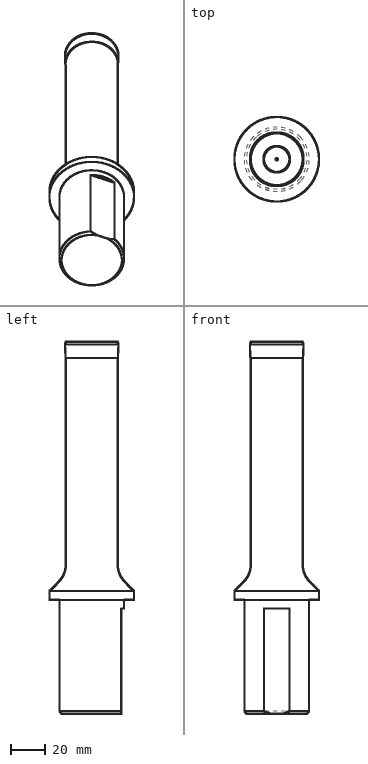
import cadquery as cq
import math

TOTAL_HEIGHT = 219.0

SHANK_RADIUS = 38.0 / 2
SHANK_CHAMFER_HEIGHT = 1.8
SHANK_CHAMFER_WIDTH = 1.3
FLAT_WIDTH = 15.1
FLAT_TOP = 62.0

FLANGE_RADIUS = 50.0 / 2
FLANGE_BOTTOM = 67.0
FLANGE_TOP = 72.3
NECK_FILLET_RADIUS = 14.5
NECK_CONE_ANGLE = math.radians(45)

BODY_RADIUS = 30.7 / 2

TIP_HEIGHT = 9.6
TIP_RADIUS = 31.8 / 2
TIP_BASE_RADIUS = 31.0 / 2
TIP_CHAMFER_HEIGHT = 1.8
TIP_CHAMFER_WIDTH = 0.7
RING_RADIUS = 15.8 / 2
RING_WIDTH = 0.5
RING_DEPTH = 0.2
CENTER_DIAMETER = 1.3
CENTER_DEPTH = 0.2

joint_level = TOTAL_HEIGHT - TIP_HEIGHT
flat_offset = math.sqrt(SHANK_RADIUS**2 - (FLAT_WIDTH / 2) ** 2)


def make_holder_profile():
    """Half section of the holder, with the neck fillet tangent to the cone and the body."""
    arc_center_radius = BODY_RADIUS + NECK_FILLET_RADIUS
    cone_end_radius = arc_center_radius - NECK_FILLET_RADIUS * math.cos(NECK_CONE_ANGLE)
    cone_end_level = FLANGE_TOP + (FLANGE_RADIUS - cone_end_radius) * math.tan(NECK_CONE_ANGLE)
    fillet_top = cone_end_level + NECK_FILLET_RADIUS * math.sin(NECK_CONE_ANGLE)
    half_angle = NECK_CONE_ANGLE / 2
    arc_middle = (
        arc_center_radius - NECK_FILLET_RADIUS * math.cos(half_angle),
        fillet_top - NECK_FILLET_RADIUS * math.sin(half_angle),
    )
    return (
        cq.Workplane("XZ")
        .moveTo(0, 0)
        .lineTo(SHANK_RADIUS - SHANK_CHAMFER_WIDTH, 0)
        .lineTo(SHANK_RADIUS, SHANK_CHAMFER_HEIGHT)
        .lineTo(SHANK_RADIUS, FLANGE_BOTTOM)
        .lineTo(FLANGE_RADIUS, FLANGE_BOTTOM)
        .lineTo(FLANGE_RADIUS, FLANGE_TOP)
        .lineTo(cone_end_radius, cone_end_level)
        .threePointArc(arc_middle, (BODY_RADIUS, fillet_top))
        .lineTo(BODY_RADIUS, joint_level)
        .lineTo(0, joint_level)
        .close()
    )


def make_holder():
    """Turned holder with a clamping flat on the -Y side of its shank."""
    turned = make_holder_profile().revolve(360, (0, 0, 0), (0, 1, 0))
    flat_cut = cq.Workplane("XY").box(
        2 * SHANK_RADIUS, SHANK_RADIUS, FLAT_TOP, centered=(True, False, False)
    )
    return turned.cut(flat_cut.translate((0, -flat_offset - SHANK_RADIUS, 0)))


def make_tip():
    """Back-tapered tip with a chamfered rim, a shallow ring groove and a center mark."""
    blank = (
        cq.Workplane("XZ")
        .moveTo(0, joint_level)
        .lineTo(TIP_BASE_RADIUS, joint_level)
        .lineTo(TIP_RADIUS, TOTAL_HEIGHT - TIP_CHAMFER_HEIGHT)
        .lineTo(TIP_RADIUS - TIP_CHAMFER_WIDTH, TOTAL_HEIGHT)
        .lineTo(0, TOTAL_HEIGHT)
        .close()
        .revolve(360, (0, 0, 0), (0, 1, 0))
    )
    ring_groove = (
        cq.Workplane("XY", origin=(0, 0, TOTAL_HEIGHT - RING_DEPTH))
        .circle(RING_RADIUS)
        .circle(RING_RADIUS - RING_WIDTH)
        .extrude(RING_DEPTH)
    )
    center_mark = (
        cq.Workplane("XY", origin=(0, 0, TOTAL_HEIGHT - CENTER_DEPTH))
        .circle(CENTER_DIAMETER / 2)
        .extrude(CENTER_DEPTH)
    )
    return blank.cut(ring_groove).cut(center_mark)


holder = make_holder()
tip = make_tip()

result = cq.Compound.makeCompound([holder.val(), tip.val()])